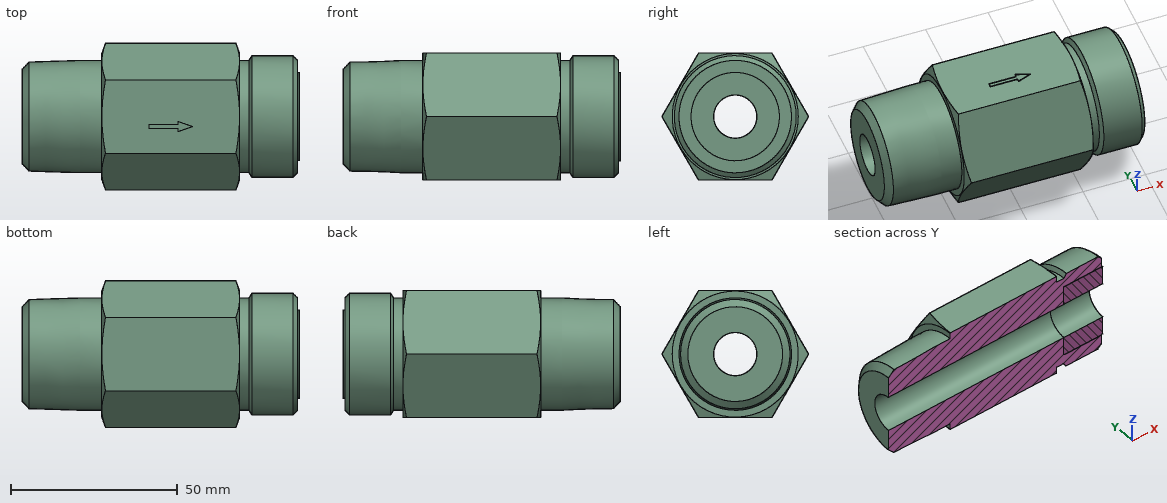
import cadquery as cq
import math

TOTAL_LENGTH = 83.0
HEX_START = 23.8
HEX_LENGTH = 41.3
HEX_END = HEX_START + HEX_LENGTH
HOUSING_LENGTH = 82.5

HEX_ACROSS_CORNERS = 44.0
HEX_ACROSS_FLATS = HEX_ACROSS_CORNERS * math.cos(math.radians(30))
HEX_CHAMFER_DIAMETER = 37.8
HEX_CHAMFER_ANGLE = 20.0

NECK_DIAMETER = 33.7
TAPER_END = 17.35
TAPER_RATIO = 1 / 16
INLET_FACE_DIAMETER = 28.4
INLET_CHAMFER_LENGTH = 2.1

COLLAR_DIAMETER = 36.5
COLLAR_START = 67.9
COLLAR_BACK_CHAMFER_LENGTH = 0.9
COLLAR_FRONT_CHAMFER = 1.4

BORE_DIAMETER = 12.9
INSERT_DIAMETER = 26.5
INSERT_START = COLLAR_START

ARROW_TAIL_X = 38.0
ARROW_LENGTH = 13.0
ARROW_HEAD_LENGTH = 4.3
ARROW_HEAD_WIDTH = 3.0
ARROW_SHAFT_WIDTH = 1.2
ARROW_Y = -3.0
ARROW_DEPTH = 0.25


def cylinder_x(diameter, start, end):
    """Round bar along X between two stations."""
    return cq.Workplane("YZ", origin=(start, 0, 0)).circle(diameter / 2).extrude(end - start)


def make_turned_ends():
    """Inlet spigot, necks and outlet collar as one turned bar."""
    neck_radius = NECK_DIAMETER / 2
    collar_radius = COLLAR_DIAMETER / 2
    taper_drop = (TAPER_END - INLET_CHAMFER_LENGTH) * TAPER_RATIO / 2
    profile = [
        (0, 0),
        (0, INLET_FACE_DIAMETER / 2),
        (INLET_CHAMFER_LENGTH, neck_radius - taper_drop),
        (TAPER_END, neck_radius),
        (COLLAR_START, neck_radius),
        (COLLAR_START + COLLAR_BACK_CHAMFER_LENGTH, collar_radius),
        (HOUSING_LENGTH - COLLAR_FRONT_CHAMFER, collar_radius),
        (HOUSING_LENGTH, collar_radius - COLLAR_FRONT_CHAMFER),
        (HOUSING_LENGTH, 0),
    ]
    return cq.Workplane("XY").polyline(profile).close().revolve(360, (0, 0), (1, 0))


def make_hexagon():
    """Hexagonal wrench section with its corners turned down at both ends."""
    prism = (
        cq.Workplane("YZ", origin=(HEX_START, 0, 0))
        .polygon(6, HEX_ACROSS_CORNERS)
        .extrude(HEX_LENGTH)
    )
    end_radius = HEX_CHAMFER_DIAMETER / 2
    corner_radius = HEX_ACROSS_CORNERS / 2
    chamfer_length = (corner_radius - end_radius) * math.tan(math.radians(HEX_CHAMFER_ANGLE))
    envelope_profile = [
        (HEX_START, 0),
        (HEX_START, end_radius),
        (HEX_START + chamfer_length, corner_radius),
        (HEX_END - chamfer_length, corner_radius),
        (HEX_END, end_radius),
        (HEX_END, 0),
    ]
    envelope = cq.Workplane("XY").polyline(envelope_profile).close().revolve(360, (0, 0), (1, 0))
    return prism.intersect(envelope)


def make_flow_arrow():
    """Shallow arrow pointing to the outlet, sunk into the top flat."""
    tip_x = ARROW_TAIL_X + ARROW_LENGTH
    head_x = tip_x - ARROW_HEAD_LENGTH
    half_shaft = ARROW_SHAFT_WIDTH / 2
    half_head = ARROW_HEAD_WIDTH / 2
    outline = [
        (ARROW_TAIL_X, -half_shaft),
        (head_x, -half_shaft),
        (head_x, -half_head),
        (tip_x, 0),
        (head_x, half_head),
        (head_x, half_shaft),
        (ARROW_TAIL_X, half_shaft),
    ]
    top_flat = (0, ARROW_Y, HEX_ACROSS_FLATS / 2)
    return cq.Workplane("XY", origin=top_flat).polyline(outline).close().extrude(-ARROW_DEPTH)


def make_housing():
    """Housing with a through bore and a recess for the outlet insert."""
    return (
        make_turned_ends()
        .union(make_hexagon())
        .cut(cylinder_x(BORE_DIAMETER, 0, HOUSING_LENGTH))
        .cut(cylinder_x(INSERT_DIAMETER, INSERT_START, HOUSING_LENGTH))
        .cut(make_flow_arrow())
    )


def make_outlet_insert():
    """Ring seated in the outlet recess and standing slightly proud of the housing."""
    ring = cylinder_x(INSERT_DIAMETER, INSERT_START, TOTAL_LENGTH)
    return ring.cut(cylinder_x(BORE_DIAMETER, INSERT_START, TOTAL_LENGTH))


housing = make_housing()
outlet_insert = make_outlet_insert()

result = cq.Compound.makeCompound([housing.val(), outlet_insert.val()])